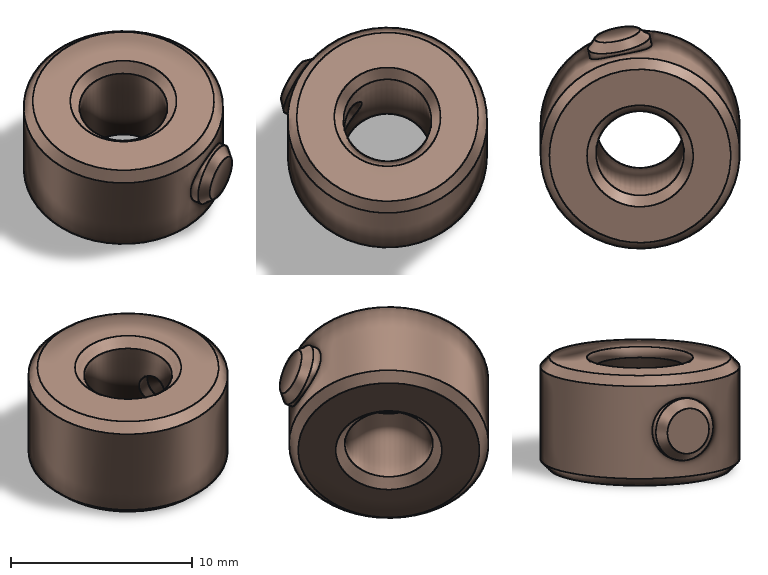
import cadquery as cq

collar_diameter = 11.0
collar_height = 6.2
bore_diameter = 4.85
edge_chamfer = 0.5

screw_diameter = 3.5
screw_chamfer = 0.48
screw_height = 0.09
overall_length = 11.66
screw_end_x = overall_length - collar_diameter / 2
screw_tip_x = 3.03

passage_diameter = 1.8

cup_diameter = passage_diameter
cup_depth = 0.5


def radial_cylinder(diameter, start_x, end_x):
    """Cylinder along +X at the height of the screw axis."""
    return (
        cq.Workplane("YZ", origin=(start_x, 0, screw_height))
        .circle(diameter / 2)
        .extrude(end_x - start_x)
    )


def make_collar():
    ring = (
        cq.Workplane("XY", origin=(0, 0, -collar_height / 2))
        .circle(collar_diameter / 2)
        .circle(bore_diameter / 2)
        .extrude(collar_height)
        .faces("<Z or >Z")
        .chamfer(edge_chamfer)
    )
    screw_seat = radial_cylinder(screw_diameter, screw_tip_x, screw_end_x)
    passage = radial_cylinder(passage_diameter, 0, screw_tip_x)
    return ring.cut(screw_seat).cut(passage)


def make_set_screw():
    body = (
        radial_cylinder(screw_diameter, screw_tip_x, screw_end_x)
        .faces(">X")
        .chamfer(screw_chamfer)
    )
    cup = cq.Solid.makeCone(
        cup_diameter / 2,
        0,
        cup_depth,
        pnt=cq.Vector(screw_tip_x, 0, screw_height),
        dir=cq.Vector(1, 0, 0),
    )
    return body.cut(cq.Workplane(cup))


collar = make_collar()
set_screw = make_set_screw()
result = cq.Compound.makeCompound([collar.val(), set_screw.val()])